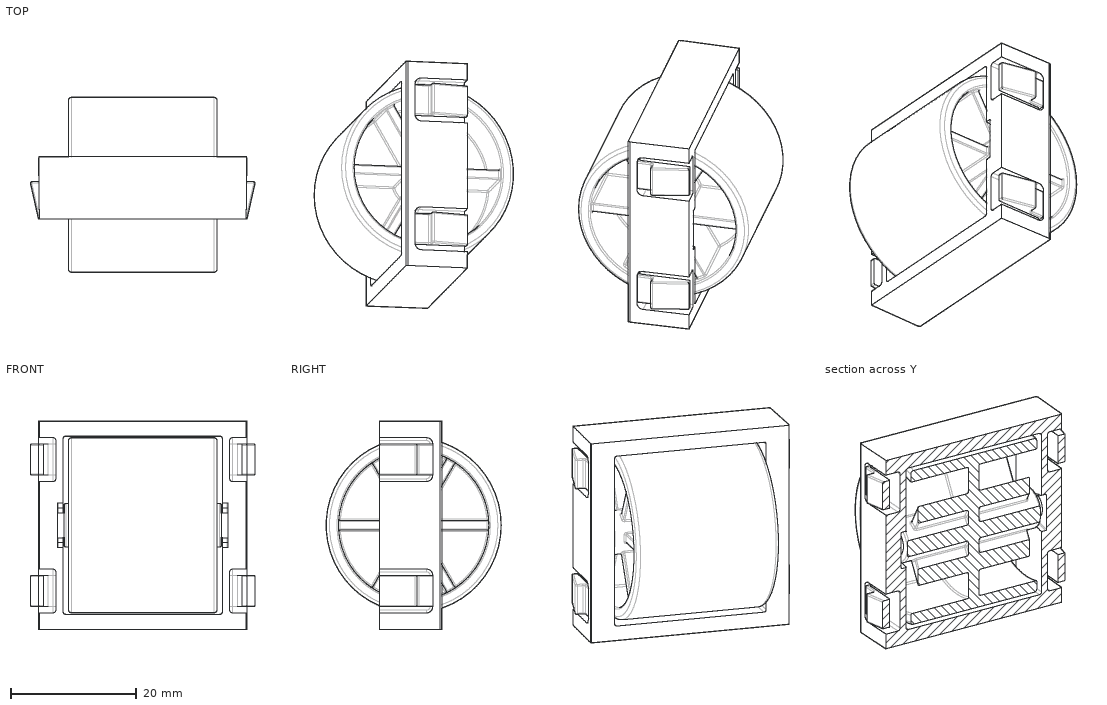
import cadquery as cq
import math


FRAME_SIZE = 33.3
FRAME_BACK = 4.52
FRAME_FRONT = -5.5
SIDE_DRAFT = 0.15
BACK_BEVEL_LENGTH = 0.32
BACK_BEVEL_DEPTH = 0.1
WINDOW_WIDTH = 25.4
WINDOW_HEIGHT = 28.45
WINDOW_CORNER_RADIUS = 0.4

CLIP_PITCH = 21.0
CLIP_WIDTH = 5.0
CLIP_TIP = 17.95
CLIP_INNER = 15.83
CLIP_OUTER = 16.45
CLIP_SLANT = 12.7
CLIP_STEP = 0.55
CLIP_ROOT_RADIUS = 0.7
CLIP_SHOULDER_RADIUS = 0.32
CLIP_TIP_RADIUS = 0.3
CLIP_EDGE_RADIUS = 0.2
POCKET_CORNER_RADIUS = 1.0
POCKET_WIDTH = CLIP_WIDTH + 2 * POCKET_CORNER_RADIUS
POCKET_BACK = 3.05
POCKET_FLOOR = 13.9
POCKET_FLOOR_RADIUS = 0.43

AXLE_DIAMETER = 4.0
AXLE_HALF_LENGTH = 13.65
FUNNEL_MOUTH = 7.15
FUNNEL_THROAT = 5.53
FUNNEL_END = -0.9
FUNNEL_FLOOR_RADIUS = 0.15

WHEEL_DIAMETER = 28
WHEEL_WIDTH = 23.8
WHEEL_EDGE_RADIUS = 0.55
RIM_BORE = 24.0
HUB_DIAMETER = 7.0
HUB_LENGTH = 25.13
HUB_EDGE_RADIUS = 0.3
HUB_BORE = 4.2
WEB_THICKNESS = 2.0
SPOKE_COUNT = 6
SPOKE_THICKNESS = 1.5
SPOKE_SPAN = 21.05
SPOKE_EDGE_RADIUS = 0.18
CAVITY_RADIUS = 0.25
TOLERANCE = 0.0005


def x_cylinder(diameter, length):
    """Cylinder about the X axis, centred on the origin."""
    return cq.Workplane("YZ").circle(diameter / 2).extrude(length).translate((-length / 2, 0, 0))


def make_blank():
    """Square ring with drafted sides and a bevel along the back of each side."""
    half = FRAME_SIZE / 2
    front_half = half - SIDE_DRAFT
    back_half = half - BACK_BEVEL_DEPTH
    bevel_start = FRAME_BACK - BACK_BEVEL_LENGTH
    right_side = [(front_half, FRAME_FRONT), (half, bevel_start), (back_half, FRAME_BACK)]
    left_side = [(-x, y) for x, y in reversed(right_side)]
    ring = cq.Workplane("XY").polyline(right_side + left_side).close().extrude(half, both=True)
    window = (
        cq.Workplane("XZ")
        .rect(WINDOW_WIDTH, WINDOW_HEIGHT)
        .extrude(FRAME_SIZE, both=True)
        .edges("|Y")
        .fillet(WINDOW_CORNER_RADIUS)
    )
    return ring.cut(window)


def make_clip_pocket():
    """Cutter for the pocket on the +X side, centred on Z = 0 and open to the front."""
    reach = 2 * (POCKET_BACK - FRAME_FRONT)
    return (
        cq.Workplane("XY")
        .box(FRAME_SIZE / 2, reach, POCKET_WIDTH, centered=(False, False, True))
        .translate((POCKET_FLOOR, POCKET_BACK - reach, 0))
        .edges("|X and >Y")
        .fillet(POCKET_CORNER_RADIUS)
        .faces("<X")
        .edges()
        .fillet(POCKET_FLOOR_RADIUS)
    )


def make_clip():
    """Clip on the +X side, centred on Z = 0, hanging forward from the back of the pocket."""
    outer_low = (CLIP_INNER + CLIP_EDGE_RADIUS, FRAME_FRONT - 0.35, -CLIP_WIDTH)
    outer_high = (CLIP_TIP, POCKET_BACK, CLIP_WIDTH)
    root = CLIP_INNER - CLIP_ROOT_RADIUS
    diagonal = CLIP_ROOT_RADIUS * math.sqrt(0.5)
    root_middle = (root + diagonal, POCKET_BACK - CLIP_ROOT_RADIUS + diagonal)
    slant = math.radians(CLIP_SLANT)
    tip_centre = cq.Vector(CLIP_TIP - CLIP_TIP_RADIUS, CLIP_STEP - CLIP_TIP_RADIUS)
    tip_start = tip_centre + cq.Vector(math.cos(slant), -math.sin(slant)) * CLIP_TIP_RADIUS
    toe = tip_start.x - (tip_start.y - FRAME_FRONT) * math.tan(slant)
    return (
        cq.Workplane("XY")
        .moveTo(root, POCKET_BACK)
        .threePointArc(root_middle, (CLIP_INNER, POCKET_BACK - CLIP_ROOT_RADIUS))
        .lineTo(CLIP_INNER, FRAME_FRONT)
        .lineTo(toe, FRAME_FRONT)
        .lineTo(tip_start.x, tip_start.y)
        .threePointArc((CLIP_TIP, tip_centre.y), (tip_centre.x, CLIP_STEP))
        .lineTo(CLIP_OUTER, CLIP_STEP)
        .lineTo(CLIP_OUTER, POCKET_BACK)
        .close()
        .extrude(CLIP_WIDTH)
        .translate((0, 0, -CLIP_WIDTH / 2))
        .edges(cq.selectors.NearestToPointSelector((CLIP_OUTER, CLIP_STEP, 0)))
        .fillet(CLIP_SHOULDER_RADIUS)
        .faces("<Z or >Z")
        .edges(cq.selectors.BoxSelector(outer_low, outer_high))
        .fillet(CLIP_EDGE_RADIUS)
    )


def make_axle_slot():
    """Cutter for the slot in the +X side: a funnel, then a channel with a round seat."""
    funnel = [
        (FRAME_FRONT, -FUNNEL_MOUTH / 2),
        (FUNNEL_END, -FUNNEL_THROAT / 2),
        (FUNNEL_END, FUNNEL_THROAT / 2),
        (FRAME_FRONT, FUNNEL_MOUTH / 2),
    ]
    radius = AXLE_DIAMETER / 2
    lead_in = (
        cq.Workplane("YZ")
        .polyline(funnel)
        .close()
        .extrude(AXLE_HALF_LENGTH)
        .faces(">X")
        .edges("not <Y")
        .fillet(FUNNEL_FLOOR_RADIUS)
    )
    channel = (
        cq.Workplane("YZ")
        .moveTo(FRAME_FRONT, -radius)
        .lineTo(0, -radius)
        .threePointArc((radius, 0), (0, radius))
        .lineTo(FRAME_FRONT, radius)
        .close()
        .extrude(AXLE_HALF_LENGTH)
    )
    return lead_in.union(channel)


def on_both_sides(shape):
    return [shape, shape.mirror("YZ")]


def make_frame():
    frame = make_blank()
    for slot in on_both_sides(make_axle_slot()):
        frame = frame.cut(slot)
    for height in (-CLIP_PITCH / 2, CLIP_PITCH / 2):
        for pocket in on_both_sides(make_clip_pocket().translate((0, 0, height))):
            frame = frame.cut(pocket)
        for clip in on_both_sides(make_clip().translate((0, 0, height))):
            frame = frame.union(clip)
    return frame


def make_spokes():
    spoke = (
        cq.Workplane("XY")
        .box(SPOKE_SPAN, RIM_BORE / 2, SPOKE_THICKNESS, centered=(True, False, True))
        .edges("|Y")
        .fillet(SPOKE_EDGE_RADIUS)
    )
    spokes = spoke
    for index in range(1, SPOKE_COUNT):
        spokes = spokes.union(spoke.rotate((0, 0, 0), (1, 0, 0), index * 360 / SPOKE_COUNT))
    return spokes


def is_cavity_corner(edge):
    """True for an inside corner where the web, spokes, hub and rim bore meet one another."""
    box = edge.BoundingBox()
    reach = max(abs(box.xmin), abs(box.xmax))
    if reach > SPOKE_SPAN / 2 + TOLERANCE:
        return False
    crosses_web = edge.geomType() == "LINE" and box.xlen > WEB_THICKNESS / 2 and reach < WEB_THICKNESS
    if crosses_web:
        return False
    points = [edge.positionAt(share) for share in (0, 0.5, 1)]
    for wall_radius in (RIM_BORE / 2, HUB_DIAMETER / 2):
        if all(abs(math.hypot(point.y, point.z) - wall_radius) < TOLERANCE for point in points):
            return True
    return abs(reach - WEB_THICKNESS / 2) < TOLERANCE


def make_wheel():
    rim = x_cylinder(WHEEL_DIAMETER, WHEEL_WIDTH).edges("%CIRCLE").fillet(WHEEL_EDGE_RADIUS)
    rim = rim.cut(x_cylinder(RIM_BORE, WHEEL_WIDTH))
    rim = rim.faces("<X or >X").edges(cq.selectors.RadiusNthSelector(0)).fillet(CAVITY_RADIUS)
    hub = x_cylinder(HUB_DIAMETER, HUB_LENGTH).edges("%CIRCLE").fillet(HUB_EDGE_RADIUS)
    web = x_cylinder(RIM_BORE, WEB_THICKNESS)
    wheel = rim.union(web).union(hub).union(make_spokes())
    corners = [edge for edge in wheel.edges().vals() if is_cavity_corner(edge)]
    wheel = wheel.newObject(corners).fillet(CAVITY_RADIUS)
    return wheel.cut(x_cylinder(HUB_BORE, HUB_LENGTH))


def make_axle():
    return x_cylinder(AXLE_DIAMETER, 2 * AXLE_HALF_LENGTH)


frame = make_frame()
wheel = make_wheel()
axle = make_axle()

result = cq.Compound.makeCompound([frame.val(), wheel.val(), axle.val()])